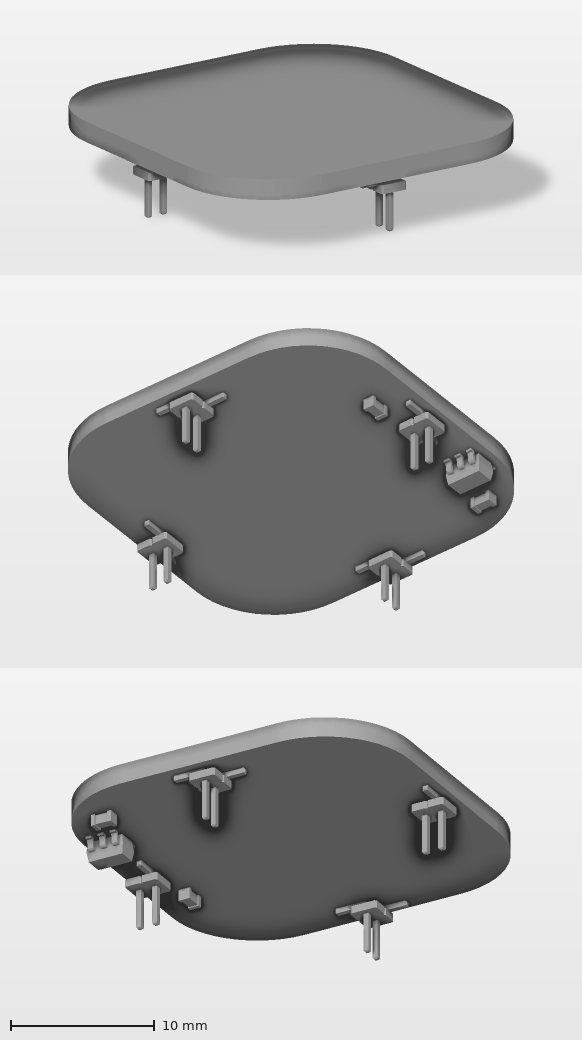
import cadquery as cq


BOARD_SIDE = 26.0
BOARD_THICKNESS = 1.5
BOARD_CORNER_RADIUS = 6.75

MOUNT_GAP = 0.05
OVERALL_HEIGHT = 5.5
PIN_TIP_Z = BOARD_THICKNESS - OVERALL_HEIGHT
FOOT_TOP_Z = -MOUNT_GAP

HEADER_DISTANCE = 11.41
HEADER_COUNT = 4
PIN_PITCH = 1.27
PIN_WIDTH = 0.4
PIN_TIP_CHAMFER = 0.09
FOOT_REACH = 2.5
HOUSING_WIDTH = 2.1
HOUSING_HEIGHT = 0.57
HOUSING_CORNER_CHAMFER = 0.13
HOUSING_TOP_Z = FOOT_TOP_Z - PIN_WIDTH

CHIP_X = -11.05
CHIP_Y = -5.95
CHIP_LENGTH = 2.89
CHIP_WIDTH = 1.59
CHIP_TOP_Z = -0.15
CHIP_BOTTOM_Z = -1.7
CHIP_DRAFT_ANGLE = 9.0
LEAD_THICKNESS = 0.18
LEAD_WIDTH = 0.45
LEAD_PITCH = 0.95
LEADS_PER_SIDE = 3
LEAD_SHOULDER_REACH = 1.1
LEAD_HEEL_REACH = 1.2
LEAD_TOE_REACH = 1.4
LEAD_SHOULDER_RADIUS = 0.25
LEAD_HEEL_RADIUS = 0.15
SHOULDER_TOP_Z = -0.83
SHOULDER_BOTTOM_Z = SHOULDER_TOP_Z - LEAD_THICKNESS

CAPACITOR_LENGTH = 1.6
CAPACITOR_SIDE = 0.85
TERMINAL_LENGTH = 0.3
CERAMIC_INSET = 0.08
CAPACITOR_PLACES = [
    (-9.52, -9.57, 0),
    (-10.1, 3.55, 90),
]


def make_board():
    """Square board with rounded corners."""
    return (
        cq.Workplane("XY")
        .rect(BOARD_SIDE, BOARD_SIDE)
        .extrude(BOARD_THICKNESS)
        .edges("|Z")
        .fillet(BOARD_CORNER_RADIUS)
    )


def make_pin(y, foot_direction):
    """Square pin whose top bends into a flat foot pointing along +X (1) or -X (-1)."""
    half_width = PIN_WIDTH / 2
    shank = (
        cq.Workplane("XY")
        .rect(PIN_WIDTH, PIN_WIDTH)
        .extrude(PIN_TIP_Z - HOUSING_TOP_Z)
        .faces("<Z")
        .chamfer(PIN_TIP_CHAMFER)
        .translate((0, 0, HOUSING_TOP_Z))
    )
    bend = (
        cq.Workplane("XZ", origin=(0, half_width, 0))
        .moveTo(-half_width, HOUSING_TOP_Z)
        .radiusArc((half_width, FOOT_TOP_Z), PIN_WIDTH)
        .lineTo(half_width, HOUSING_TOP_Z)
        .close()
        .extrude(PIN_WIDTH)
    )
    foot = (
        cq.Workplane("YZ", origin=(half_width, 0, FOOT_TOP_Z - half_width))
        .rect(PIN_WIDTH, PIN_WIDTH)
        .extrude(FOOT_REACH - half_width)
        .faces(">X")
        .chamfer(PIN_TIP_CHAMFER)
    )
    pin = shank.union(bend).union(foot)
    if foot_direction < 0:
        pin = pin.rotate((0, 0, 0), (0, 0, 1), 180)
    return pin.translate((0, y, 0))


def make_housing_block(y):
    """Block around one pin, with its four upright corners cut off."""
    return (
        cq.Workplane("XY", origin=(0, y, HOUSING_TOP_Z))
        .rect(HOUSING_WIDTH, PIN_PITCH)
        .extrude(-HOUSING_HEIGHT)
        .edges("|Z")
        .chamfer(HOUSING_CORNER_CHAMFER)
    )


def make_header(turn):
    """Header at the -Y side of the board, then turned about the board centre."""
    outer_y = -HEADER_DISTANCE - PIN_PITCH / 2
    inner_y = -HEADER_DISTANCE + PIN_PITCH / 2
    header = make_housing_block(outer_y).union(make_housing_block(inner_y))
    header = header.union(make_pin(outer_y, -1)).union(make_pin(inner_y, 1))
    return header.rotate((0, 0, 0), (0, 0, 1), turn)


def make_lead():
    """Bent lead on the +Y side of the chip, centred on x = 0."""
    heel_inner = LEAD_HEEL_REACH - LEAD_THICKNESS
    shoulder_inner = LEAD_SHOULDER_REACH - LEAD_THICKNESS
    foot_bottom_z = FOOT_TOP_Z - LEAD_THICKNESS
    return (
        cq.Workplane("YZ", origin=(-LEAD_WIDTH / 2, 0, 0))
        .moveTo(0, SHOULDER_BOTTOM_Z)
        .lineTo(LEAD_SHOULDER_REACH, SHOULDER_BOTTOM_Z)
        .lineTo(LEAD_HEEL_REACH, foot_bottom_z)
        .lineTo(LEAD_TOE_REACH, foot_bottom_z)
        .lineTo(LEAD_TOE_REACH, FOOT_TOP_Z)
        .lineTo(heel_inner, FOOT_TOP_Z)
        .lineTo(shoulder_inner, SHOULDER_TOP_Z)
        .lineTo(0, SHOULDER_TOP_Z)
        .close()
        .extrude(LEAD_WIDTH)
        .edges(cq.selectors.NearestToPointSelector((0, LEAD_SHOULDER_REACH, SHOULDER_BOTTOM_Z)))
        .fillet(LEAD_SHOULDER_RADIUS)
        .edges(cq.selectors.NearestToPointSelector((0, heel_inner, FOOT_TOP_Z)))
        .fillet(LEAD_HEEL_RADIUS)
    )


def make_chip():
    """Moulded case tapering up and down from an upright band, with leads on both long sides."""
    chip = (
        cq.Workplane("XY", origin=(0, 0, SHOULDER_BOTTOM_Z))
        .rect(CHIP_LENGTH, CHIP_WIDTH)
        .extrude(LEAD_THICKNESS)
        .faces(">Z")
        .wires()
        .toPending()
        .extrude(CHIP_TOP_Z - SHOULDER_TOP_Z, taper=CHIP_DRAFT_ANGLE)
        .faces("<Z")
        .wires()
        .toPending()
        .workplane(origin=(0, 0, SHOULDER_BOTTOM_Z))
        .extrude(SHOULDER_BOTTOM_Z - CHIP_BOTTOM_Z, taper=CHIP_DRAFT_ANGLE)
    )
    lead = make_lead()
    for index in range(LEADS_PER_SIDE):
        x = (index - (LEADS_PER_SIDE - 1) / 2) * LEAD_PITCH
        chip = chip.union(lead.translate((x, 0, 0)))
        chip = chip.union(lead.mirror("XZ").translate((x, 0, 0)))
    return chip.translate((CHIP_X, CHIP_Y, 0))


def make_capacitor(x, y, turn):
    """Ceramic bar between two slightly larger square end terminals."""
    center_z = -MOUNT_GAP - CAPACITOR_SIDE / 2
    ceramic_side = CAPACITOR_SIDE - 2 * CERAMIC_INSET
    capacitor = cq.Workplane("XY").box(CAPACITOR_LENGTH - TERMINAL_LENGTH, ceramic_side, ceramic_side)
    for side in (-1, 1):
        terminal = cq.Workplane("XY").box(TERMINAL_LENGTH, CAPACITOR_SIDE, CAPACITOR_SIDE)
        terminal_x = side * (CAPACITOR_LENGTH - TERMINAL_LENGTH) / 2
        capacitor = capacitor.union(terminal.translate((terminal_x, 0, 0)))
    return capacitor.rotate((0, 0, 0), (0, 0, 1), turn).translate((x, y, center_z))


board = make_board()
headers = [make_header(index * 360 / HEADER_COUNT) for index in range(HEADER_COUNT)]
chip = make_chip()
capacitors = [make_capacitor(x, y, turn) for x, y, turn in CAPACITOR_PLACES]

result = cq.Compound.makeCompound(
    [
        board.val(),
        *[header.val() for header in headers],
        chip.val(),
        *[capacitor.val() for capacitor in capacitors],
    ]
)